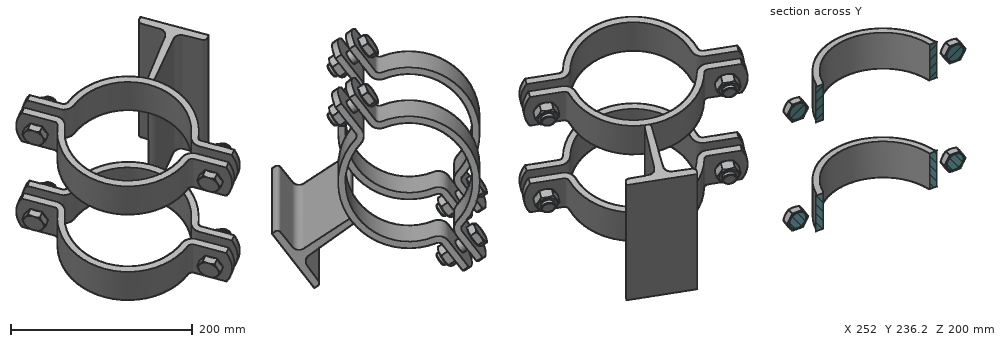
import cadquery as cq
import math


ring_diameter = 156.2
strap_thickness = 8.0
strap_height = 50.0
clamp_length = 252.0
ear_gap = 10.8
bend_radius = 5.5
ear_end_radius = strap_height

bolt_spacing = 204.0
bolt_diameter = 16.0
bolt_tip_diameter = 14.9
bolt_length = 45.0
tip_chamfer_length = 1.0
hex_flats = 24.0
head_height = 10.0
washer_face_diameter = 22.0
washer_face_height = 0.8
nut_height = 13.0
nut_face_diameter = washer_face_diameter
hex_chamfer_angle = 30.0

bar_length = 200.0
bar_depth = 80.0
bar_width = 80.0
bar_thickness = 9.0
bar_taper = 0.02
root_radius = 9.0
flange_tip_radius = 4.5
web_tip_radius = 2.3

ring_radius = ring_diameter / 2
ear_inner_y = ear_gap / 2
ear_outer_y = ear_inner_y + strap_thickness
hex_corners = hex_flats / math.cos(math.radians(30))


def make_rear_strap():
    """Half ring with a bent ear at each side, for the +Y side of the clamp."""
    ring_inner_radius = ring_radius - strap_thickness
    wide_bend_radius = bend_radius + strap_thickness

    bend_y = ear_outer_y + bend_radius
    bend_x = math.sqrt((ring_radius + bend_radius) ** 2 - bend_y**2)
    ring_end_angle = math.atan2(bend_y, bend_x)
    bend_mid_angle = (ring_end_angle + math.pi + 3 * math.pi / 2) / 2

    def ring_end(radius):
        return radius * math.cos(ring_end_angle), radius * math.sin(ring_end_angle)

    def bend_middle(radius):
        return (
            bend_x + radius * math.cos(bend_mid_angle),
            bend_y + radius * math.sin(bend_mid_angle),
        )

    def mirrored(point):
        return -point[0], point[1]

    end_x = clamp_length / 2
    outline = (
        cq.Workplane("XY")
        .moveTo(end_x, ear_outer_y)
        .lineTo(bend_x, ear_outer_y)
        .threePointArc(bend_middle(bend_radius), ring_end(ring_radius))
        .threePointArc((0, ring_radius), mirrored(ring_end(ring_radius)))
        .threePointArc(mirrored(bend_middle(bend_radius)), (-bend_x, ear_outer_y))
        .lineTo(-end_x, ear_outer_y)
        .lineTo(-end_x, ear_inner_y)
        .lineTo(-bend_x, ear_inner_y)
        .threePointArc(mirrored(bend_middle(wide_bend_radius)), mirrored(ring_end(ring_inner_radius)))
        .threePointArc((0, ring_inner_radius), ring_end(ring_inner_radius))
        .threePointArc(bend_middle(wide_bend_radius), (bend_x, ear_inner_y))
        .lineTo(end_x, ear_inner_y)
        .close()
    )
    strap = outline.extrude(strap_height / 2, both=True)
    return strap.intersect(make_ear_end_envelope())


def make_ear_end_envelope():
    """Block along Y whose two X ends are arcs, which round the ends of the ears."""
    half_height = strap_height / 2
    end_x = clamp_length / 2
    sagitta = ear_end_radius - math.sqrt(ear_end_radius**2 - half_height**2)
    corner_x = end_x - sagitta
    return (
        cq.Workplane("XZ")
        .moveTo(-corner_x, -half_height)
        .lineTo(corner_x, -half_height)
        .threePointArc((end_x, 0), (corner_x, half_height))
        .lineTo(-corner_x, half_height)
        .threePointArc((-end_x, 0), (-corner_x, -half_height))
        .close()
        .extrude(ring_diameter, both=True)
    )


def make_hexagon(start_y, end_y):
    """Plain hexagonal prism along Y with its corners pointing along X."""
    return (
        cq.Workplane("XZ", origin=(0, start_y, 0))
        .polygon(6, hex_corners)
        .extrude(start_y - end_y)
    )


def make_chamfer_cone(face_y, far_y, face_diameter):
    """Cone along Y that widens from an end face; cutting a hexagon to it chamfers the corners."""
    face_radius = face_diameter / 2
    far_radius = face_radius + abs(far_y - face_y) / math.tan(math.radians(hex_chamfer_angle))
    return (
        cq.Workplane("XY")
        .polyline([(0, face_y), (face_radius, face_y), (far_radius, far_y), (0, far_y)])
        .close()
        .revolve(360, (0, 0, 0), (0, 1, 0))
    )


def make_head(seat_y):
    """Bolt head on the -Y side of its seat, with a washer face and a chamfered outer end."""
    outer_y = seat_y - head_height
    inner_y = seat_y - washer_face_height
    washer_face = (
        cq.Workplane("XZ", origin=(0, seat_y, 0))
        .circle(washer_face_diameter / 2)
        .extrude(washer_face_height)
    )
    hexagon = make_hexagon(outer_y, inner_y)
    return hexagon.intersect(make_chamfer_cone(outer_y, inner_y, hex_flats)).union(washer_face)


def make_nut(seat_y):
    """Hexagon nut on the +Y side of its seat, chamfered at both ends."""
    outer_y = seat_y + nut_height
    hexagon = make_hexagon(seat_y, outer_y)
    seat_cone = make_chamfer_cone(seat_y, outer_y, nut_face_diameter)
    outer_cone = make_chamfer_cone(outer_y, seat_y, nut_face_diameter)
    return hexagon.intersect(seat_cone).intersect(outer_cone)


def make_bolt_and_nut():
    """Bolt along Y with its head on the front ear and its nut on the rear ear."""
    seat_y = -ear_outer_y
    tip_y = seat_y + bolt_length
    shank = (
        cq.Workplane("XY")
        .moveTo(0, seat_y)
        .lineTo(bolt_diameter / 2, seat_y)
        .lineTo(bolt_diameter / 2, tip_y - tip_chamfer_length)
        .lineTo(bolt_tip_diameter / 2, tip_y)
        .lineTo(0, tip_y)
        .close()
        .revolve(360, (0, 0, 0), (0, 1, 0))
    )
    return shank.union(make_head(seat_y)).union(make_nut(ear_outer_y))


def make_clamp():
    """One clamp, centred on Z = 0, with its straps held tight by two bolts."""
    rear_strap = make_rear_strap()
    clamp = rear_strap.union(rear_strap.mirror("XZ"))
    fastener = make_bolt_and_nut()
    for side in (-1, 1):
        clamp = clamp.union(fastener.translate((side * bolt_spacing / 2, 0, 0)))
    return clamp


def make_t_bar():
    """Rolled T section with tapered legs, its web tip touching the clamp rings."""
    web_tip_y = ring_radius
    back_y = web_tip_y + bar_depth
    half_width = bar_width / 2

    edge_y = back_y - bar_thickness + bar_taper * half_width / 2
    tip_x = bar_thickness / 2 - bar_taper * bar_depth / 2

    axis_y = edge_y - bar_taper * half_width
    root_x = (tip_x + bar_taper * (axis_y - web_tip_y)) / (1 - bar_taper**2)
    root_y = axis_y + bar_taper * root_x

    right_side = [(half_width, back_y), (half_width, edge_y), (root_x, root_y), (tip_x, web_tip_y)]
    left_side = [(-x, y) for x, y in reversed(right_side)]
    bar = cq.Workplane("XY").polyline(right_side + left_side).close().extrude(bar_length)

    rounded_corners = [
        (root_x, root_y, root_radius),
        (half_width, edge_y, flange_tip_radius),
        (tip_x, web_tip_y, web_tip_radius),
    ]
    for x, y, radius in rounded_corners:
        for side in (-1, 1):
            corner = cq.selectors.NearestToPointSelector((side * x, y, bar_length / 2))
            bar = bar.edges(corner).fillet(radius)
    return bar


t_bar = make_t_bar()

clamp = make_clamp()
clamp_heights = (strap_height / 2, bar_length - strap_height / 2)
clamps = [clamp.translate((0, 0, height)) for height in clamp_heights]

result = cq.Compound.makeCompound([t_bar.solids().val(), *[placed.solids().val() for placed in clamps]])